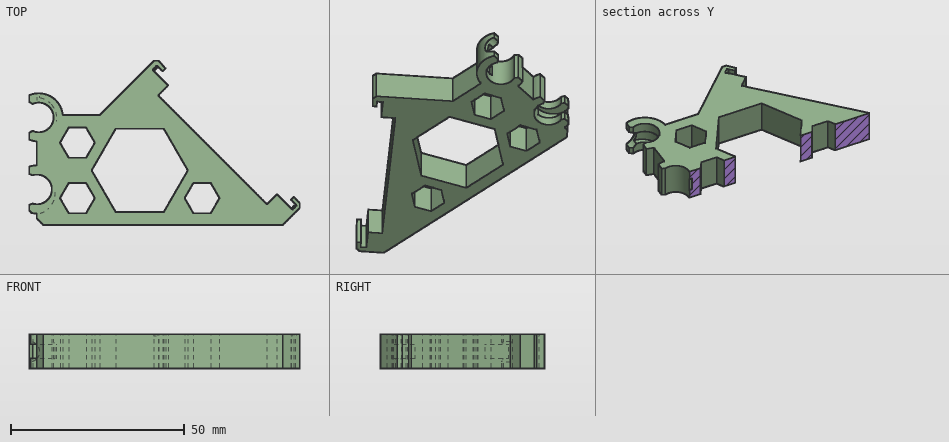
import cadquery as cq
import math

thickness = 10.0
top_edge_y = 31.85
corner_chamfer = 1.9
arm_root_x = 18.2
part_top_y = 47.48
part_right_x = 76.0
right_corner_x = 71.05
tip_flat = 1.4

slope_out = 51.3
shelf_out = 55.4
lip_inner_out = 57.1
lip_outer_out = 58.3
seat_middle = 20.52
shelf_half_gap = 22.2
lip_half_gap = 26.2
wall_half_gap = 28.05
wall_chamfer = 0.53

large_hex_flats = 24.0
small_hex_corners = 10.0
hex_middle = (29.75, 15.8)
small_hex_dx = 18.0
small_hex_dy = 8.0

clip_outer_radius = 7.0
clip_wall = 2.75
clip_bore_radius = clip_outer_radius - clip_wall
clip_tip_x = -2.19
upper_clip_center = (0.6, 31.1)
lower_clip_center = (0.1, 10.3)
flare_depth = 1.0
flare_half_width = 4.45
tip_chamfer = (0.5, 0.6)

channel_width = 4.0
channel_radius = 6.1
channel_straight = 0.75
channel_offset_x = -1.0
upper_channel_y = 30.9
lower_channel_y = 9.25
scoop_radius = 2.95

middle_z = thickness / 2


def seat_point(along, out):
    """Turn a position in the 45 degree seat frame into plate X and Y."""
    return ((out + along) / math.sqrt(2), (out - along) / math.sqrt(2))


def block(points):
    return cq.Workplane("XY").polyline(points).close().extrude(thickness)


def hook_points(side):
    """Seat outline at one end, from the lip end to the shelf root; side is -1 (top) or +1 (right)."""
    positions = [
        (lip_half_gap, lip_outer_out),
        (lip_half_gap, lip_inner_out),
        (wall_half_gap, lip_inner_out),
        (wall_half_gap, shelf_out),
        (shelf_half_gap, shelf_out),
        (shelf_half_gap, slope_out),
    ]
    return [seat_point(seat_middle + side * half_gap, out) for half_gap, out in positions]


def plate():
    arm_top_x = arm_root_x + part_top_y - top_edge_y
    right_flat_y = part_right_x - right_corner_x
    outline = [
        (corner_chamfer, 0),
        (right_corner_x, 0),
        (part_right_x, right_flat_y),
        (part_right_x, right_flat_y + tip_flat),
        *hook_points(1),
        *reversed(hook_points(-1)),
        (arm_top_x + tip_flat, part_top_y),
        (arm_top_x, part_top_y),
        (arm_root_x, top_edge_y),
        (0, top_edge_y),
        (0, corner_chamfer),
    ]
    return block(outline)


def hex_opening(center, corner_diameter):
    return cq.Workplane("XY").center(*center).polygon(6, corner_diameter).extrude(thickness)


def cylinder(center, radius):
    return cq.Workplane("XY").center(*center).circle(radius).extrude(thickness)


def wall_chamfer_cut(side):
    """Wedge that chamfers the top edge of a hook wall."""
    wall = seat_middle + side * wall_half_gap
    chamfered_wall = wall + side * wall_chamfer
    wedge = [(wall, thickness - wall_chamfer), (wall, thickness), (chamfered_wall, thickness)]
    frame = cq.Plane(origin=(*seat_point(0, shelf_out), 0), xDir=(1, -1, 0), normal=(-1, -1, 0))
    return cq.Workplane(frame).polyline(wedge).close().extrude(shelf_out - lip_inner_out)


def clip_body(center):
    """Solid clip disc, cut straight at the mouth."""
    reach = center[0] + clip_outer_radius - clip_tip_x
    keep = cq.Workplane("XY").rect(reach, 2 * clip_outer_radius).extrude(thickness)
    keep = keep.translate((clip_tip_x + reach / 2, center[1], 0))
    return cylinder(center, clip_outer_radius).intersect(keep)


def clip_opening(center):
    """Bore with its flared mouth."""
    x, y = center
    throat_x = clip_tip_x + flare_depth
    throat_half = math.sqrt(clip_bore_radius**2 - (x - throat_x) ** 2)
    mouth = [
        (clip_tip_x, y - flare_half_width),
        (throat_x, y - throat_half),
        (throat_x, y + throat_half),
        (clip_tip_x, y + flare_half_width),
    ]
    left_of_throat = cq.Workplane("XY").rect(2 * clip_bore_radius, 2 * clip_bore_radius).extrude(thickness)
    left_of_throat = left_of_throat.translate((throat_x - clip_bore_radius, y, 0))
    return cylinder(center, clip_bore_radius).cut(left_of_throat).union(block(mouth))


def strap_channel(clip_center, arc_y, direction):
    """Half disc bulging towards direction (+1 up, -1 down) with a straight run on its flat side."""
    arc_x = clip_center[0] + channel_offset_x
    end_y = arc_y - direction * channel_straight
    return (
        cq.Workplane("XY", origin=(0, 0, middle_z - channel_width / 2))
        .moveTo(arc_x + channel_radius, end_y)
        .lineTo(arc_x + channel_radius, arc_y)
        .threePointArc((arc_x, arc_y + direction * channel_radius), (arc_x - channel_radius, arc_y))
        .lineTo(arc_x - channel_radius, end_y)
        .close()
        .extrude(channel_width)
    )


def finger_scoop():
    """Round notch across the end of the topmost clip finger."""
    axis_start = (clip_tip_x, upper_clip_center[1], middle_z)
    return cq.Workplane("XZ", origin=axis_start).circle(scoop_radius).extrude(-clip_outer_radius)


def finger_corner_cut():
    """Corner break on the outer tip of the lowest clip finger."""
    x, y = lower_clip_center
    size_x, size_y = tip_chamfer
    corner_y = y - math.sqrt(clip_outer_radius**2 - (x - clip_tip_x) ** 2)
    return block([
        (clip_tip_x, corner_y + size_y),
        (clip_tip_x, y - clip_outer_radius),
        (clip_tip_x + size_x, y - clip_outer_radius),
        (clip_tip_x + size_x, corner_y),
    ])


result = plate()

clip_centers = (upper_clip_center, lower_clip_center)
for clip_center in clip_centers:
    result = result.union(clip_body(clip_center))
for clip_center in clip_centers:
    result = result.cut(clip_opening(clip_center))
result = result.cut(strap_channel(upper_clip_center, upper_channel_y, 1))
result = result.cut(strap_channel(lower_clip_center, lower_channel_y, -1))
result = result.cut(finger_scoop())
result = result.cut(finger_corner_cut())

hex_x, hex_y = hex_middle
large_hex_corners = large_hex_flats / math.cos(math.pi / 6)
result = result.cut(hex_opening(hex_middle, large_hex_corners))
for side_x, side_y in ((-1, 1), (-1, -1), (1, -1)):
    small_hex_center = (hex_x + side_x * small_hex_dx, hex_y + side_y * small_hex_dy)
    result = result.cut(hex_opening(small_hex_center, small_hex_corners))

for side in (-1, 1):
    result = result.cut(wall_chamfer_cut(side))